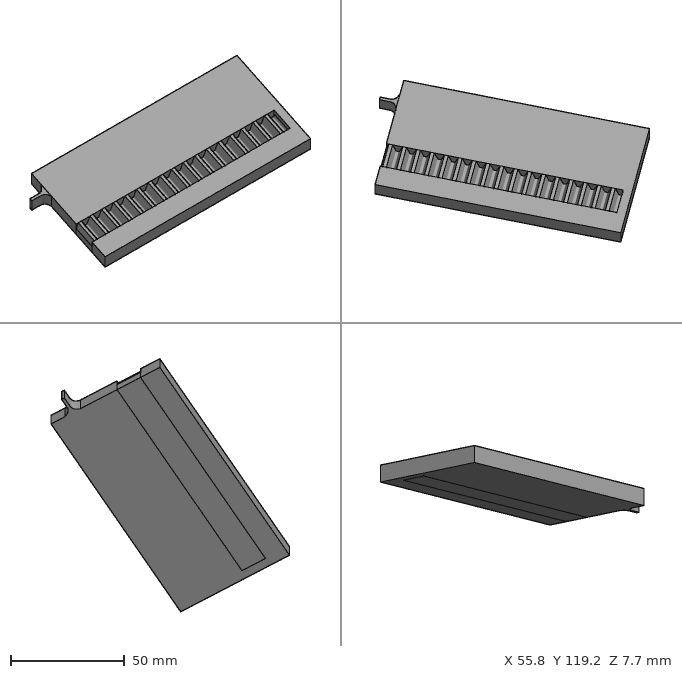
import cadquery as cq
import math


total_length = 119.2
plate_width = 55.8
plate_length = 111.0
plate_height = 7.7

slot_left = 33.9
slot_width = 12.0
back_wall = 4.0
slot_length = plate_length - back_wall

full_pitches = 17
full_pitches_length = 106.8
tooth_pitch = full_pitches_length / full_pitches
module = tooth_pitch / math.pi
addendum = module
dedendum = 1.25 * module
pressure_angle = 20
flank_slope = math.tan(math.radians(pressure_angle))
root_fillet = 0.4
first_tooth = 2.0

tab_center = 11.1
tab_length = total_length - plate_length
tab_thickness = 1.4
tab_height = 7.0
flare_length = 3.6
toe_width = 1.1
toe_length = 0.5
root_half_width = 3.9
root_height = 7.5


def make_tab():
    """Upright tab that flares towards the plate, with a top that sweeps up to the plate."""
    half_neck = tab_thickness / 2
    half_tab = (
        cq.Workplane("XY")
        .moveTo(0, -tab_length)
        .lineTo(half_neck, -tab_length)
        .lineTo(half_neck, -flare_length)
        .tangentArcPoint((root_half_width - toe_width, -toe_length), relative=False)
        .lineTo(root_half_width, 0)
        .lineTo(0, 0)
        .close()
        .extrude(plate_height)
    )
    tab = half_tab.union(half_tab.mirror("YZ"))

    side_shape = (
        cq.Workplane("YZ")
        .moveTo(0, 0)
        .lineTo(-tab_length, 0)
        .lineTo(-tab_length, tab_height)
        .lineTo(-flare_length, tab_height)
        .tangentArcPoint((0, root_height), relative=False)
        .close()
        .extrude(root_half_width, both=True)
    )
    return tab.intersect(side_shape).translate((tab_center, 0, 0))


def make_housing():
    """Plate with an open-ended slot for the rack and a tab on its front face."""
    plate = cq.Workplane("XY").box(plate_width, plate_length, plate_height, centered=False)
    slot = cq.Workplane("XY").box(slot_width, slot_length, plate_height, centered=False)
    plate = plate.cut(slot.translate((slot_left, 0, 0)))
    return plate.union(make_tab())


def make_tooth_gap(center):
    """Trapezoidal gap between two rack teeth, rounded at its root."""
    half_middle = tooth_pitch / 4
    half_top = half_middle + addendum * flank_slope
    half_root = half_middle - dedendum * flank_slope
    root_z = plate_height - addendum - dedendum
    gap = (
        cq.Workplane("YZ", origin=(slot_left, 0, 0))
        .polyline([
            (center - half_top, plate_height),
            (center - half_root, root_z),
            (center + half_root, root_z),
            (center + half_top, plate_height),
        ])
        .close()
        .extrude(slot_width)
    )
    return gap.edges("|X and <Z").fillet(root_fillet)


def make_rack():
    """Toothed bar that fills the slot, with its teeth level with the plate's top."""
    rack = cq.Workplane("XY").box(slot_width, slot_length, plate_height, centered=False)
    rack = rack.translate((slot_left, 0, 0))
    first_gap = first_tooth - tooth_pitch / 2
    for index in range(full_pitches + 1):
        rack = rack.cut(make_tooth_gap(first_gap + index * tooth_pitch))
    return rack


housing = make_housing()
rack = make_rack()

result = cq.Compound.makeCompound([housing.val(), rack.val()])